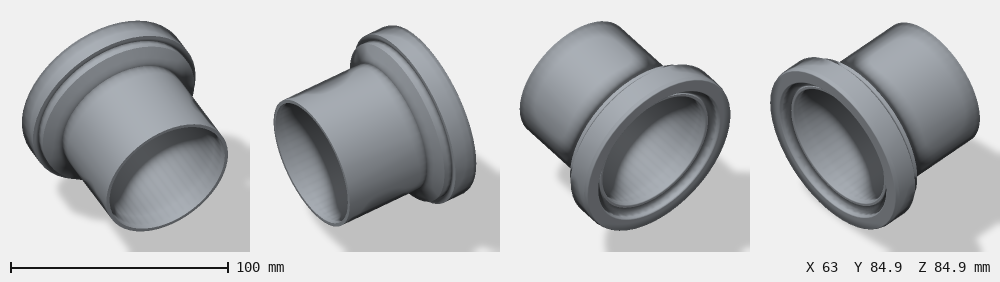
import cadquery as cq
import math

length = 63.0
flange_radius = 84.9 / 2
shoulder_radius = 79.0 / 2
tube_radius = 63.5 / 2
bore_radius = 60.2 / 2

taper_length = 1.95
flange_thickness = 11.9
shoulder_end = 16.05
cone_half_angle = math.radians(60)
cone_end = shoulder_end + (shoulder_radius - tube_radius) / math.tan(cone_half_angle)

taper_angle = math.radians(15)
front_radius = flange_radius - taper_length * math.tan(taper_angle)
rim_fillet = 0.4

groove_outer_radius = 35.4
groove_inner_radius = 31.6
groove_middle_radius = (groove_outer_radius + groove_inner_radius) / 2
groove_depth = 4.9
lip_setback = 3.65
groove_edge_fillet = 0.5
lip_fillet = 0.5

profile = (
    cq.Workplane("XY")
    .moveTo(0, groove_outer_radius)
    .lineTo(0, front_radius)
    .lineTo(taper_length, flange_radius)
    .lineTo(flange_thickness, flange_radius)
    .lineTo(flange_thickness, shoulder_radius)
    .lineTo(shoulder_end, shoulder_radius)
    .lineTo(cone_end, tube_radius)
    .lineTo(length, tube_radius)
    .lineTo(length, bore_radius)
    .lineTo(lip_setback, bore_radius)
    .lineTo(lip_setback, groove_inner_radius)
    .spline(
        [(groove_depth, groove_middle_radius), (0, groove_outer_radius)],
        tangents=[(1, 0), (-1, 0)],
        includeCurrent=True,
    )
    .close()
)
body = profile.revolve(360, (0, 0, 0), (1, 0, 0))


def fillet_circle(solid, x, radius, fillet):
    """Round the circular edge that lies at station x with the given radius."""
    edges = [
        edge
        for edge in solid.edges("%CIRCLE").vals()
        if math.isclose(edge.radius(), radius, abs_tol=0.0001)
        and math.isclose(edge.Center().x, x, abs_tol=0.0001)
    ]
    return solid.newObject(edges).fillet(fillet)


body = fillet_circle(body, 0, front_radius, rim_fillet)
body = fillet_circle(body, 0, groove_outer_radius, groove_edge_fillet)
body = fillet_circle(body, lip_setback, bore_radius, lip_fillet)
result = body